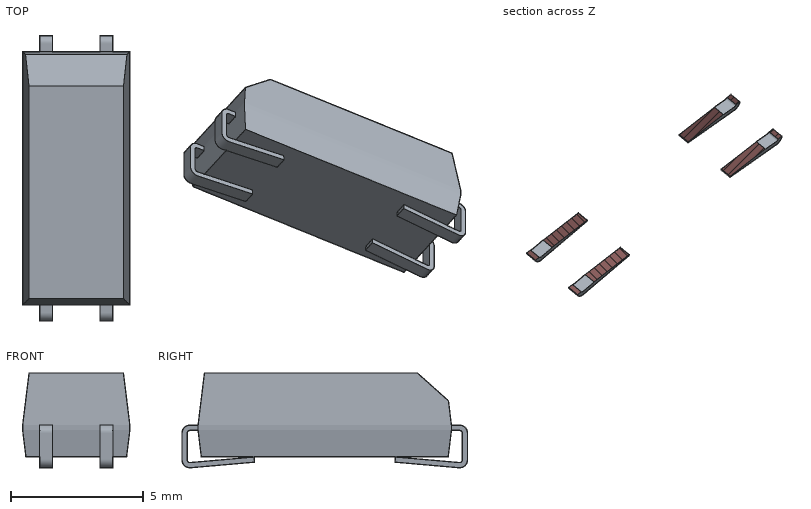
import cadquery as cq
import math

HOUSING_WIDTH = 4.06
HOUSING_LENGTH = 9.6
HOUSING_BOTTOM = 0.42
BAND_BOTTOM = 1.42
HOUSING_TOP = 3.6
WALL_DRAFT = 7.0
BEVEL_LENGTH = 1.3
BEVEL_DROP = 1.06

LEAD_SPAN = 10.81
LEAD_WIDTH = 0.5
LEAD_PITCH = 2.28
LEAD_THICKNESS = 0.2
BEND_OUTER_RADIUS = 0.3
FOOT_LENGTH = 2.43
FOOT_ANGLE = 5.0

BEND_INNER_RADIUS = BEND_OUTER_RADIUS - LEAD_THICKNESS
BAND_TOP = BAND_BOTTOM + LEAD_THICKNESS


def make_housing():
    band = cq.Workplane("XY").workplane(offset=BAND_BOTTOM).rect(HOUSING_WIDTH, HOUSING_LENGTH)
    body = band.extrude(LEAD_THICKNESS)
    upper = body.faces(">Z").wires().toPending().workplane().extrude(
        HOUSING_TOP - BAND_TOP, taper=WALL_DRAFT, combine=False
    )
    lower = body.faces("<Z").wires().toPending().workplane().extrude(
        BAND_BOTTOM - HOUSING_BOTTOM, taper=WALL_DRAFT, combine=False
    )
    return body.union(upper).union(lower).cut(make_bevel_cutter())


def make_bevel_cutter():
    """Wedge that slopes the top of the +Y end."""
    end_y = HOUSING_LENGTH / 2
    bevel_bottom = HOUSING_TOP - BEVEL_DROP
    wall_inset = (bevel_bottom - BAND_TOP) * math.tan(math.radians(WALL_DRAFT))
    return (
        cq.Workplane("YZ")
        .moveTo(end_y - BEVEL_LENGTH, HOUSING_TOP)
        .lineTo(end_y - wall_inset, bevel_bottom)
        .lineTo(end_y, bevel_bottom)
        .lineTo(end_y, HOUSING_TOP)
        .close()
        .extrude(HOUSING_WIDTH / 2, both=True)
    )


def polar(center, radius, degrees):
    angle = math.radians(degrees)
    return (center[0] + radius * math.cos(angle), center[1] + radius * math.sin(angle))


def make_lead(x):
    """Lead at the -Y end, starting flush against the housing's band."""
    bend_y = -LEAD_SPAN / 2 + BEND_OUTER_RADIUS
    upper_bend = (bend_y, BAND_TOP - BEND_OUTER_RADIUS)
    lower_bend = (bend_y, BEND_OUTER_RADIUS)
    foot_normal = 270 + FOOT_ANGLE
    lower_middle = (180 + foot_normal) / 2
    foot_end = polar(lower_bend, FOOT_LENGTH, FOOT_ANGLE)

    profile = (
        cq.Workplane("YZ", origin=(x, 0, 0))
        .moveTo(-HOUSING_LENGTH / 2, BAND_TOP)
        .lineTo(*polar(upper_bend, BEND_OUTER_RADIUS, 90))
        .threePointArc(polar(upper_bend, BEND_OUTER_RADIUS, 135), polar(upper_bend, BEND_OUTER_RADIUS, 180))
        .lineTo(*polar(lower_bend, BEND_OUTER_RADIUS, 180))
        .threePointArc(
            polar(lower_bend, BEND_OUTER_RADIUS, lower_middle),
            polar(lower_bend, BEND_OUTER_RADIUS, foot_normal),
        )
        .lineTo(*polar(foot_end, BEND_OUTER_RADIUS, foot_normal))
        .lineTo(*polar(foot_end, BEND_INNER_RADIUS, foot_normal))
        .lineTo(*polar(lower_bend, BEND_INNER_RADIUS, foot_normal))
        .threePointArc(
            polar(lower_bend, BEND_INNER_RADIUS, lower_middle),
            polar(lower_bend, BEND_INNER_RADIUS, 180),
        )
        .lineTo(*polar(upper_bend, BEND_INNER_RADIUS, 180))
        .threePointArc(polar(upper_bend, BEND_INNER_RADIUS, 135), polar(upper_bend, BEND_INNER_RADIUS, 90))
        .lineTo(-HOUSING_LENGTH / 2, BAND_BOTTOM)
        .close()
    )
    return profile.extrude(LEAD_WIDTH / 2, both=True)


housing = make_housing()

leads = []
for lead_x in (-LEAD_PITCH / 2, LEAD_PITCH / 2):
    front_lead = make_lead(lead_x)
    leads.append(front_lead.val())
    leads.append(front_lead.mirror("XZ").val())

result = cq.Compound.makeCompound([housing.val(), *leads])